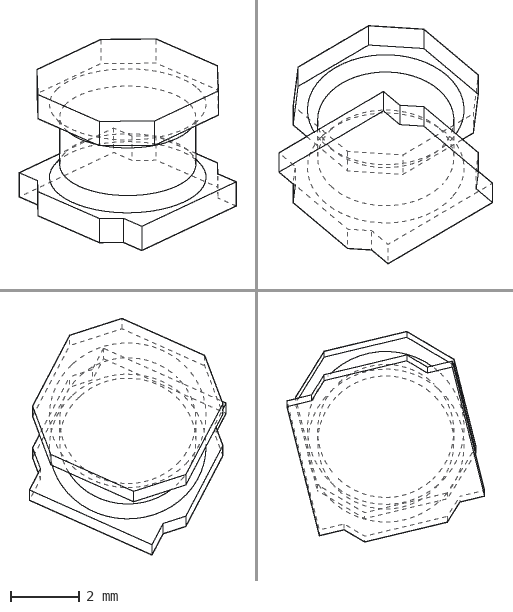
import cadquery as cq

total_height = 4.0
flange_thickness = 0.8
flange_depth = 5.0
upper_flange_width = 4.8
corner_cut = 1.15
base_width = 5.0
base_depth = 4.0
post_radius = 2.0
cone_radius = 2.3
cone_height = 0.415

upper_flange_bottom = total_height - flange_thickness


def octagonal_plate(bottom):
    """Flange plate with all four corners cut at 45 degrees."""
    return (
        cq.Workplane("XY", origin=(0, 0, bottom))
        .rect(upper_flange_width, flange_depth)
        .extrude(flange_thickness)
        .edges("|Z")
        .chamfer(corner_cut)
    )


def lower_flange():
    """Octagonal plate merged with the wider base plate, leaving notched corners."""
    base_plate = cq.Workplane("XY").rect(base_width, base_depth).extrude(flange_thickness)
    return octagonal_plate(0).union(base_plate)


def winding_post():
    """Round post that flares into a cone at each flange."""
    return (
        cq.Workplane("XZ")
        .moveTo(0, flange_thickness)
        .lineTo(cone_radius, flange_thickness)
        .lineTo(post_radius, flange_thickness + cone_height)
        .lineTo(post_radius, upper_flange_bottom - cone_height)
        .lineTo(cone_radius, upper_flange_bottom)
        .lineTo(0, upper_flange_bottom)
        .close()
        .revolve(360, (0, 0, 0), (0, 1, 0))
    )


result = lower_flange().union(winding_post()).union(octagonal_plate(upper_flange_bottom))